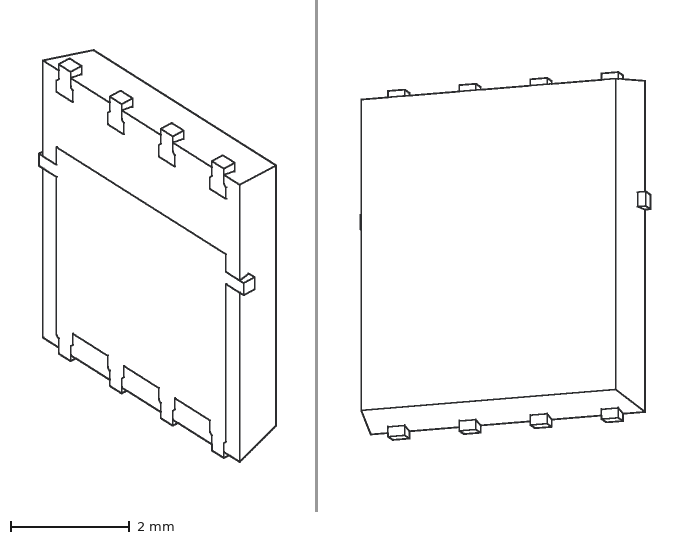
import cadquery as cq
import math


HOUSING_WIDTH = 4.9
HOUSING_HEIGHT = 5.75
HOUSING_DEPTH = 1.0
DRAFT_ANGLE = 10.0

METAL_THICKNESS = 0.25
TIP_TO_TIP = 6.0
TIE_BAR_SPAN = 5.1

LEAD_COUNT = 4
LEAD_PITCH = 1.27
LEAD_LENGTH = 0.6
NECK_WIDTH = 0.3
FOOT_WIDTH = 0.4
NECK_LENGTH = 0.31

PAD_TOP = 1.255
TIE_BAR_TOP = 0.89
TIE_BAR_WIDTH = 0.25

TIP_Z = TIP_TO_TIP / 2
PAD_WIDTH = (LEAD_COUNT - 1) * LEAD_PITCH + FOOT_WIDTH
PAD_BOTTOM = LEAD_LENGTH - TIP_Z
LEAD_X = [(i - (LEAD_COUNT - 1) / 2) * LEAD_PITCH for i in range(LEAD_COUNT)]


def metal_block(x_center, width, z_bottom, z_top):
    """Rectangular piece of sheet lying on the mounting face."""
    return (
        cq.Workplane("XY")
        .box(width, METAL_THICKNESS, z_top - z_bottom, centered=(True, False, False))
        .translate((x_center, 0, z_bottom))
    )


def make_lead(x_center):
    """Lead at the top edge: neck, 45 degree shoulders, then the wider foot."""
    half_neck = NECK_WIDTH / 2
    half_foot = FOOT_WIDTH / 2
    neck_end = TIP_Z - NECK_LENGTH
    shoulder_end = neck_end - (half_foot - half_neck)
    foot_end = TIP_Z - LEAD_LENGTH
    return (
        cq.Workplane("XZ")
        .moveTo(half_neck, TIP_Z)
        .lineTo(half_neck, neck_end)
        .lineTo(half_foot, shoulder_end)
        .lineTo(half_foot, foot_end)
        .lineTo(-half_foot, foot_end)
        .lineTo(-half_foot, shoulder_end)
        .lineTo(-half_neck, neck_end)
        .lineTo(-half_neck, TIP_Z)
        .close()
        .extrude(-METAL_THICKNESS)
        .translate((x_center, 0, 0))
    )


def make_thermal_pad():
    """Pad with a tie bar across both sides and lead-shaped fingers at the bottom edge."""
    pad = metal_block(0, PAD_WIDTH, PAD_BOTTOM, PAD_TOP)
    pad = pad.union(metal_block(0, TIE_BAR_SPAN, TIE_BAR_TOP - TIE_BAR_WIDTH, TIE_BAR_TOP))
    for x in LEAD_X:
        pad = pad.union(make_lead(x).mirror("XY"))
    return pad


def make_housing(metal_parts):
    """Drafted block, largest at the mounting face, with recesses that fit the metal."""
    draft_inset = HOUSING_DEPTH * math.tan(math.radians(DRAFT_ANGLE))
    housing = (
        cq.Workplane("XZ")
        .rect(HOUSING_WIDTH, HOUSING_HEIGHT)
        .workplane(offset=-HOUSING_DEPTH)
        .rect(HOUSING_WIDTH - 2 * draft_inset, HOUSING_HEIGHT - 2 * draft_inset)
        .loft(ruled=True)
    )
    for part in metal_parts:
        housing = housing.cut(part)
    return housing


thermal_pad = make_thermal_pad()
leads = [make_lead(x) for x in LEAD_X]
housing = make_housing([thermal_pad, *leads])

result = cq.Compound.makeCompound(
    [housing.solids().val(), thermal_pad.solids().val(), *[lead.val() for lead in leads]]
)